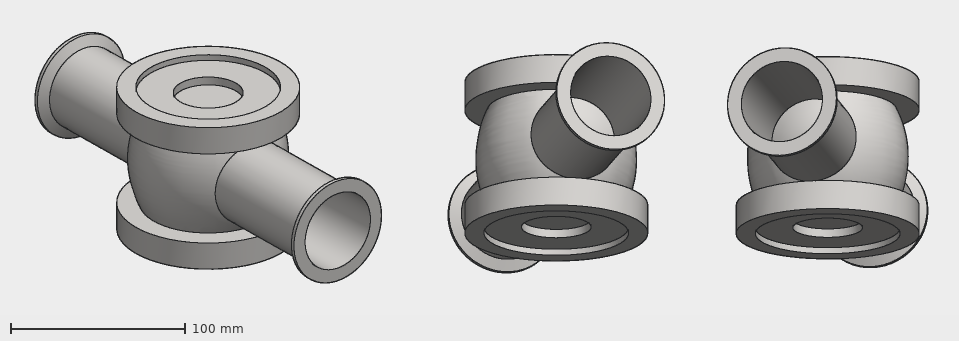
import cadquery as cq

length = 240.0
pipe_diameter = 51.0
bore_diameter = 47.8
ferrule_diameter = 64.0
ferrule_rim = 2.5
ferrule_length = 5.3

height = 90.7
flange_diameter = 105.0
flange_thickness = 16.8
body_end_diameter = 79.2
body_bulge_diameter = 92.6

window_diameter = 83.0
window_depth = 3.5
sight_diameter = 40.0
sight_depth = 5.0

ball_diameter = 92.6

half_length = length / 2
half_height = height / 2
body_half_height = half_height - flange_thickness


def make_body():
    """Barrel with an arched side, revolved about Z."""
    end_radius = body_end_diameter / 2
    return (
        cq.Workplane("XZ")
        .moveTo(0, -body_half_height)
        .lineTo(end_radius, -body_half_height)
        .threePointArc((body_bulge_diameter / 2, 0), (end_radius, body_half_height))
        .lineTo(0, body_half_height)
        .close()
        .revolve(360, (0, 0, 0), (0, 1, 0))
    )


def make_pipe():
    """Solid pipe run with a tapered ferrule at both ends, revolved about X."""
    pipe_radius = pipe_diameter / 2
    ferrule_radius = ferrule_diameter / 2
    taper_start = half_length - ferrule_length
    rim_start = half_length - ferrule_rim
    return (
        cq.Workplane("XY")
        .moveTo(-half_length, 0)
        .lineTo(-half_length, ferrule_radius)
        .lineTo(-rim_start, ferrule_radius)
        .lineTo(-taper_start, pipe_radius)
        .lineTo(taper_start, pipe_radius)
        .lineTo(rim_start, ferrule_radius)
        .lineTo(half_length, ferrule_radius)
        .lineTo(half_length, 0)
        .close()
        .revolve(360, (0, 0, 0), (1, 0, 0))
    )


def make_bores():
    """Bores from both pipe ends, each stopping at the domed side of the ball."""
    bore = cq.Workplane("YZ").circle(bore_diameter / 2).extrude(half_length, both=True)
    ball_profile = (
        cq.Workplane("XY")
        .moveTo(-ball_diameter / 2, 0)
        .threePointArc((0, ball_diameter / 2), (ball_diameter / 2, 0))
        .close()
    )
    return bore.cut(ball_profile.revolve(360, (0, 0, 0), (1, 0, 0)))


def make_flange():
    """Upper flange disc with its stepped recess."""
    window_floor = half_height - window_depth
    sight_floor = window_floor - sight_depth
    disc = (
        cq.Workplane("XY", origin=(0, 0, body_half_height))
        .circle(flange_diameter / 2)
        .extrude(flange_thickness)
    )
    window = (
        cq.Workplane("XY", origin=(0, 0, window_floor))
        .circle(window_diameter / 2)
        .extrude(window_depth)
    )
    sight = (
        cq.Workplane("XY", origin=(0, 0, sight_floor))
        .circle(sight_diameter / 2)
        .extrude(sight_depth)
    )
    return disc.cut(window).cut(sight)


upper_flange = make_flange()
lower_flange = upper_flange.mirror("XY")
result = make_body().union(make_pipe()).cut(make_bores()).union(upper_flange).union(lower_flange)